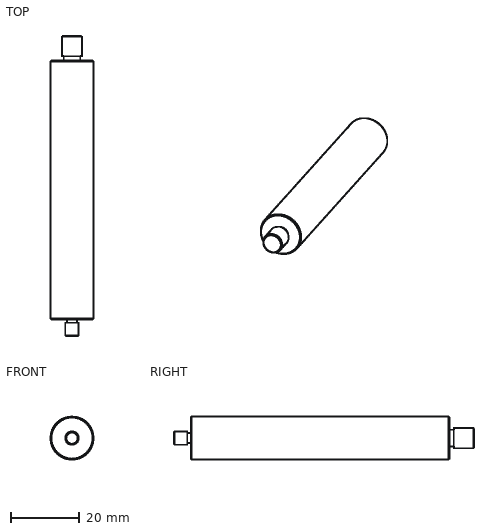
import cadquery as cq

total_length = 88.2
front_pin_length = 4.1
front_neck_length = 0.9
rear_pin_length = 6.0
rear_neck_length = 1.2

body_diameter = 12.7
front_pin_diameter = 4.0
front_neck_diameter = 3.0
rear_pin_diameter = 6.0
rear_neck_diameter = 4.9

body_chamfer = 0.35
pin_chamfer = 0.35

body_length = (
    total_length - front_pin_length - front_neck_length - rear_pin_length - rear_neck_length
)


def rod(start_y, length, diameter):
    """Solid cylinder on the Y axis, growing toward +Y from start_y."""
    plane = cq.Plane(origin=(0, start_y, 0), xDir=(1, 0, 0), normal=(0, 1, 0))
    return cq.Workplane(plane).circle(diameter / 2).extrude(length)


front_end = -total_length / 2
front_neck_start = front_end + front_pin_length
body_start = front_neck_start + front_neck_length
body_end = body_start + body_length
rear_pin_start = body_end + rear_neck_length

body = rod(body_start, body_length, body_diameter).edges().chamfer(body_chamfer)
front_pin = rod(front_end, front_pin_length, front_pin_diameter).faces("<Y").chamfer(pin_chamfer)
rear_pin = rod(rear_pin_start, rear_pin_length, rear_pin_diameter).faces(">Y").chamfer(pin_chamfer)

front_neck = rod(front_neck_start, front_neck_length, front_neck_diameter)
rear_neck = rod(body_end, rear_neck_length, rear_neck_diameter)

result = body.union(front_neck).union(front_pin).union(rear_neck).union(rear_pin)